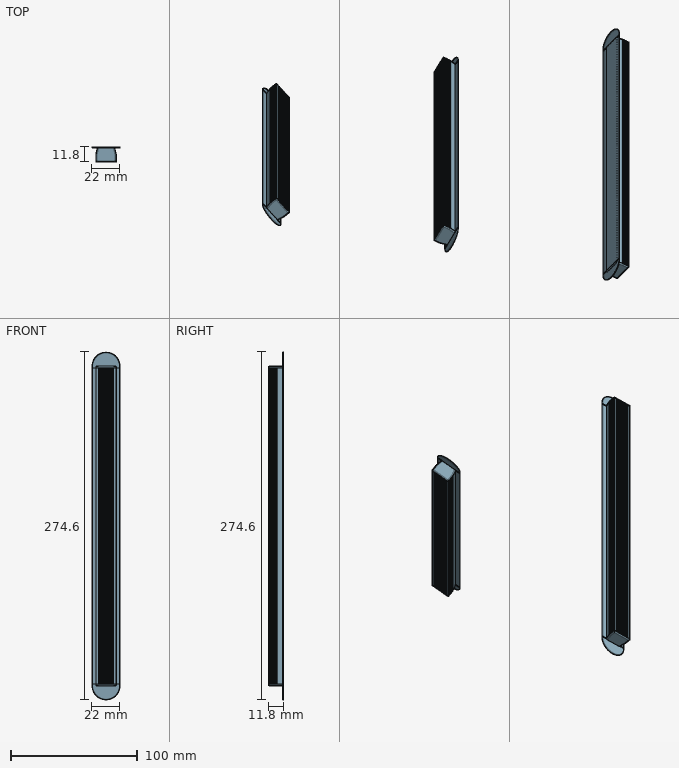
import cadquery as cq
import math

total_width = 22.0
total_depth = 11.85
total_length = 274.6
profile_length = 250.0

half_width = total_width / 2
flange_thickness = 0.7
flange_edge_radius = 0.4

neck_half_width = 6.91
flare_angle = 12.6
body_half_width = 8.1
flare_length = (body_half_width - neck_half_width) / math.tan(math.radians(flare_angle))
flare_end_depth = flange_thickness + flare_length

groove_radius = 0.24
front_groove_count = 21
front_groove_pitch = 0.585
side_groove_count = 12
side_groove_pitch = 0.545
last_side_groove_depth = 10.975

cap_end = total_length / 2 - half_width
cap_thickness = cap_end - profile_length / 2
cap_edge_radius = 1.0


def body_outline():
    """Outline of the flared body and of the cap plugs, with its back edge on the flange's front face."""
    return cq.Workplane("XY").polyline(
        [
            (-neck_half_width, -flange_thickness),
            (-body_half_width, -flare_end_depth),
            (-body_half_width, -total_depth),
            (body_half_width, -total_depth),
            (body_half_width, -flare_end_depth),
            (neck_half_width, -flange_thickness),
        ]
    ).close()


def groove_centres():
    """Places of the groove axes, on the front face and then on both side faces."""
    centres = []
    for i in range(front_groove_count):
        x = (i - (front_groove_count - 1) / 2) * front_groove_pitch
        centres.append((x, -total_depth))
    for i in range(side_groove_count):
        y = -last_side_groove_depth + i * side_groove_pitch
        centres.append((-body_half_width, y))
        centres.append((body_half_width, y))
    return centres


def make_profile():
    """Extruded profile: flange with rounded front edges and a flared, grooved body."""
    flange = (
        cq.Workplane("XY")
        .center(0, -flange_thickness / 2)
        .rect(total_width, flange_thickness)
        .extrude(profile_length)
        .edges("|Z and <Y")
        .fillet(flange_edge_radius)
    )
    body = body_outline().extrude(profile_length)
    grooves = (
        cq.Workplane("XY")
        .pushPoints(groove_centres())
        .circle(groove_radius)
        .extrude(profile_length)
    )
    return flange.union(body).cut(grooves).translate((0, 0, -profile_length / 2))


def make_top_cap():
    """End cap on the +Z end: half-round flange plate and a plug with a rounded rim."""
    profile_end = profile_length / 2
    plate = (
        cq.Workplane("XZ")
        .moveTo(-half_width, profile_end)
        .lineTo(-half_width, cap_end)
        .threePointArc((0, total_length / 2), (half_width, cap_end))
        .lineTo(half_width, profile_end)
        .close()
        .extrude(flange_thickness)
        .faces("<Y")
        .edges("not <Z")
        .fillet(flange_edge_radius)
    )
    plug = (
        body_outline()
        .extrude(cap_thickness)
        .faces(">Z")
        .edges("not >Y")
        .fillet(cap_edge_radius)
        .translate((0, 0, profile_end))
    )
    return plate.union(plug)


profile = make_profile()
top_cap = make_top_cap()
bottom_cap = top_cap.mirror("XY")

result = cq.Compound.makeCompound([profile.val(), top_cap.val(), bottom_cap.val()])